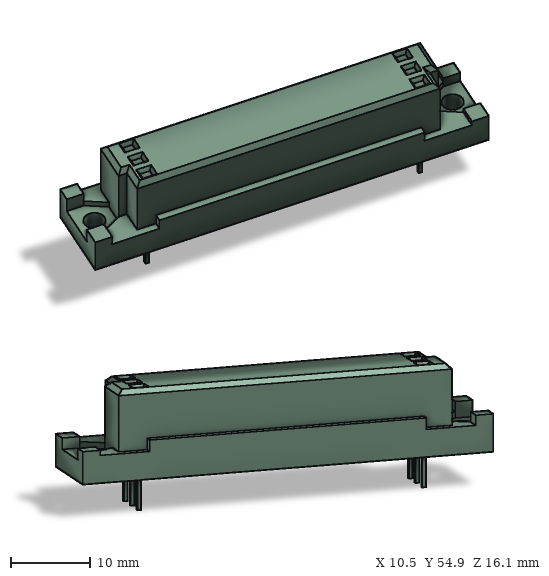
import cadquery as cq

base_length = 54.9
base_width = 10.5
deck_height = 3.6
rail_height = 5.1
rail_length = 37.0

lug_length = 2.35
front_lug_height = 4.95
rear_lug_height = 4.3

mount_offset_x = -0.3
mount_hole_y = 25.0
mount_hole_diameter = 2.8
recess_floor = 2.8
recess_width = 6.0
recess_inner_width = 2.85

block_width = 8.45
block_length = 44.6
block_short_length = 42.3
block_step_x = 1.15
block_top = 11.6
block_chamfer = 0.65

pin_size = 0.5
pin_length = 4.5
contact_pitch = 2.6
contact_row_y = 19.05
entry_width = 1.75
entry_length = 2.1
entry_floor_width = 1.05
entry_floor_length = 1.35
entry_depth = 0.6

contact_points = [
    (column * contact_pitch, end * contact_row_y)
    for end in (-1, 1)
    for column in (-1, 0, 1)
]


def box_on(z, width, length, height, x=0.0, y=0.0):
    """Box centred at (x, y) that stands on the level z."""
    return cq.Workplane("XY", origin=(x, y, z)).rect(width, length).extrude(height)


def base():
    deck = box_on(0, base_width, base_length, deck_height)
    rails = box_on(0, base_width, rail_length, rail_height)
    lug_y = (base_length - lug_length) / 2
    front_lugs = box_on(0, base_width, lug_length, front_lug_height, y=-lug_y)
    rear_lugs = box_on(0, base_width, lug_length, rear_lug_height, y=lug_y)
    return deck.union(rails).union(front_lugs).union(rear_lugs)


def mount_recess(end):
    """Recess between the lugs that narrows towards the contact block."""
    outer_y = end * base_length / 2
    lug_y = end * (base_length / 2 - lug_length)
    block_y = end * block_length / 2
    left = mount_offset_x - recess_width / 2
    right = mount_offset_x + recess_width / 2
    inner_left = mount_offset_x - recess_inner_width / 2
    inner_right = mount_offset_x + recess_inner_width / 2
    outline = [
        (left, outer_y),
        (left, lug_y),
        (inner_left, block_y),
        (inner_right, block_y),
        (right, lug_y),
        (right, outer_y),
    ]
    return cq.Workplane("XY", origin=(0, 0, recess_floor)).polyline(outline).close().extrude(front_lug_height)


def mount_hole(end):
    centre = (mount_offset_x, end * mount_hole_y, 0)
    return cq.Workplane("XY", origin=centre).circle(mount_hole_diameter / 2).extrude(deck_height)


def contact_block():
    side_x = block_width / 2
    long_y = block_length / 2
    short_y = block_short_length / 2
    outline = [
        (-side_x, -long_y),
        (block_step_x, -long_y),
        (block_step_x, -short_y),
        (side_x, -short_y),
        (side_x, short_y),
        (block_step_x, short_y),
        (block_step_x, long_y),
        (-side_x, long_y),
    ]
    block = cq.Workplane("XY").polyline(outline).close().extrude(block_top)
    return block.faces(">Z").chamfer(block_chamfer)


def contact_entry(x, y):
    """Funnel from the top of the block down to a small flat floor."""
    return (
        cq.Workplane("XY", origin=(x, y, block_top))
        .rect(entry_width, entry_length)
        .workplane(offset=-entry_depth)
        .rect(entry_floor_width, entry_floor_length)
        .loft(ruled=True)
    )


def make_housing():
    body = base()
    for end in (-1, 1):
        body = body.cut(mount_recess(end)).cut(mount_hole(end))
    body = body.union(contact_block())
    for x, y in contact_points:
        body = body.cut(contact_entry(x, y))
    return body


def make_pin(x, y):
    """Square pin that hangs from the underside of the housing."""
    return box_on(-pin_length, pin_size, pin_size, pin_length, x, y)


housing = make_housing()
pins = [make_pin(x, y).val() for x, y in contact_points]

result = cq.Compound.makeCompound([housing.val(), *pins])